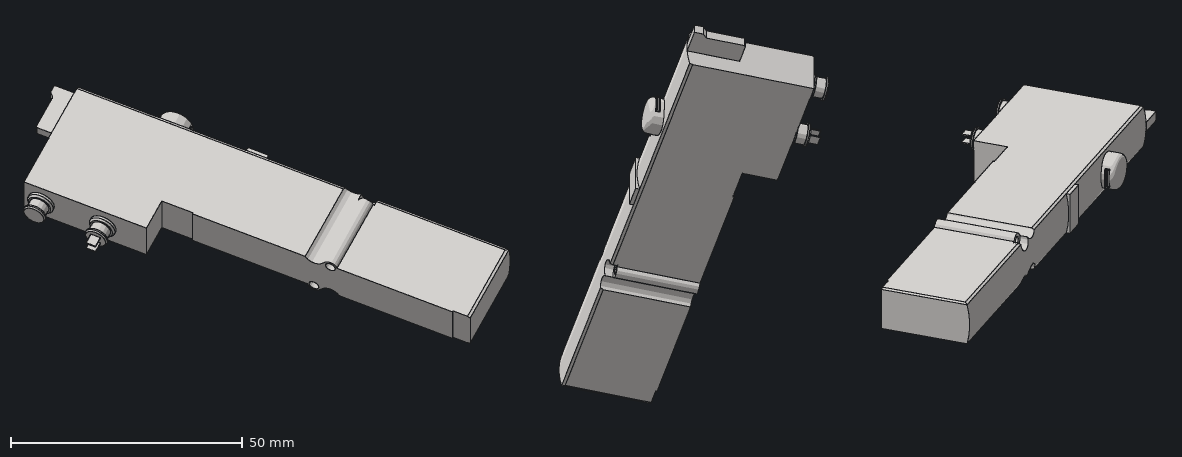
import cadquery as cq
import math


thickness = 10.0
length = 102.6
block_length = 29.2
block_depth = 28.5
neck_depth = 20.6
pad_depth = 20.9
pad_start = 36.6
pad_end = 98.5

crown_sag = 0.6
bevel_length = 0.65
bevel_drop = 0.25
crown_half_width = thickness / 2 - bevel_drop

channel_middle_x = 67.5
channel_pitch = 3.9
ridge_radius = 1.65
ridge_inset = 0.45
groove_radius = 2.4
groove_rise = 1.2
bore_diameter = 1.7
mouth_diameter = 2.3
mouth_depth = 5.0
head_seat_diameter = 3.9
head_seat_depth = 2.3

lever_thickness = 2.3
lever_reach = 5.9
lever_grip_reach = 4.9
lever_tip_height = 2.0
lever_length = 11.8
lever_corner = 0.3

connector_xs = (4.22, 18.92)
collar_diameter = 6.1
rim_diameter = 5.3
stem_diameter = 4.5
collar_thickness = 0.6
collar_height = 1.05
rim_start = 3.3
connector_length = 4.0
rim_bevel_height = 0.35
rim_bevel_width = 0.25

blade_width = 2.3
blade_thickness = 0.35
blade_spacing = 1.95
blade_tip = 6.49

knob_x = 22.2
knob_diameter = 8.1
knob_height = 3.2
knob_edge_radius = 1.2
grip_reach = 4.15
grip_width = 4.2
grip_height = 1.0
grip_middle_y = 1.35
grip_slot_height = 0.45
grip_slot_depth = 0.4

tab_x = 42.5
tab_width = 5.0
tab_height = 0.3


def box(x_range, y_range, z_range):
    """Axis-aligned box between pairs of coordinates."""
    ranges = (x_range, y_range, z_range)
    sizes = [high - low for low, high in ranges]
    middle = tuple((high + low) / 2 for low, high in ranges)
    return cq.Workplane("XY").box(*sizes).translate(middle)


def cylinder_y(x, z, diameter, y_front, y_rear):
    """Cylinder along Y."""
    circle = cq.Workplane("XZ", origin=(x, y_rear, z)).circle(diameter / 2)
    return circle.extrude(y_rear - y_front)


def make_housing():
    half = thickness / 2
    outline = [
        (0, 0),
        (length, 0),
        (length, -neck_depth),
        (pad_end, -neck_depth),
        (pad_end, -pad_depth),
        (pad_start, -pad_depth),
        (pad_start, -neck_depth),
        (block_length, -neck_depth),
        (block_length, -block_depth),
        (0, -block_depth),
    ]
    plate = cq.Workplane("XY").workplane(offset=-half).polyline(outline).close().extrude(thickness)
    crowned_section = (
        cq.Workplane("YZ")
        .moveTo(-block_depth, -half)
        .lineTo(-crown_sag - bevel_length, -half)
        .lineTo(-crown_sag, -crown_half_width)
        .threePointArc((0, 0), (-crown_sag, crown_half_width))
        .lineTo(-crown_sag - bevel_length, half)
        .lineTo(-block_depth, half)
        .close()
        .extrude(length)
    )
    bevelled_end = (
        cq.Workplane("XZ")
        .moveTo(0, -half)
        .lineTo(length - bevel_length, -half)
        .lineTo(length, bevel_drop - half)
        .lineTo(length, half - bevel_drop)
        .lineTo(length - bevel_length, half)
        .lineTo(0, half)
        .close()
        .extrude(block_depth)
    )
    return plate.intersect(crowned_section).intersect(bevelled_end)


groove_x = channel_middle_x - channel_pitch / 2
groove_z = thickness / 2 + groove_rise
ridge_x = channel_middle_x + channel_pitch / 2
ridge_z = thickness / 2 - ridge_inset


def slope_ends():
    """Ends of the straight slope that touches both the groove circle and the ridge circle."""
    across = ridge_x - groove_x
    down = ridge_z - groove_z
    centre_distance = math.hypot(across, down)
    normal_angle = math.atan2(down, across) - math.acos((groove_radius + ridge_radius) / centre_distance)
    normal_x = math.cos(normal_angle)
    normal_z = math.sin(normal_angle)
    groove_end = (groove_x + groove_radius * normal_x, groove_z + groove_radius * normal_z)
    ridge_end = (ridge_x - ridge_radius * normal_x, ridge_z - ridge_radius * normal_z)
    return groove_end, ridge_end


def make_groove():
    """Material removed above the groove and the slope."""
    groove_end, ridge_end = slope_ends()
    half_chord = math.sqrt(groove_radius**2 - groove_rise**2)
    return (
        cq.Workplane("XZ")
        .moveTo(groove_x - half_chord, thickness / 2)
        .threePointArc((groove_x, groove_z - groove_radius), groove_end)
        .lineTo(*ridge_end)
        .lineTo(ridge_end[0], groove_z)
        .lineTo(groove_x - half_chord, groove_z)
        .close()
        .extrude(block_depth)
    )


def make_ridge():
    """Round ridge and the wedge under the slope, from the head seat to the front."""
    groove_end, ridge_end = slope_ends()
    ridge_length = pad_depth - head_seat_depth
    wedge = (
        cq.Workplane("XZ", origin=(0, -head_seat_depth, 0))
        .polyline([groove_end, ridge_end, (ridge_x, ridge_z)])
        .close()
        .extrude(ridge_length)
    )
    return cylinder_y(ridge_x, ridge_z, 2 * ridge_radius, -pad_depth, -head_seat_depth).union(wedge)


def make_screw_hole():
    bore = cylinder_y(ridge_x, ridge_z, bore_diameter, -pad_depth, 0)
    mouth = cylinder_y(ridge_x, ridge_z, mouth_diameter, -pad_depth, mouth_depth - pad_depth)
    head_seat = cylinder_y(ridge_x, ridge_z, head_seat_diameter, -head_seat_depth, 0)
    return bore.union(mouth).union(head_seat)


def add_screw_channels(body):
    axis_start = (channel_middle_x, 0, 0)
    axis_end = (channel_middle_x, 1, 0)
    for turn in (0, 180):
        groove = make_groove().rotate(axis_start, axis_end, turn)
        ridge = make_ridge().rotate(axis_start, axis_end, turn)
        hole = make_screw_hole().rotate(axis_start, axis_end, turn)
        body = body.cut(groove).union(ridge).cut(hole)
    return body


def make_lever():
    outline = [
        (0, 0),
        (-lever_reach, 0),
        (-lever_reach, -lever_tip_height),
        (-lever_grip_reach, lever_grip_reach - lever_reach - lever_tip_height),
        (-lever_grip_reach, lever_corner - lever_length),
        (lever_corner - lever_grip_reach, -lever_length),
        (0, -lever_length),
    ]
    sketch = cq.Workplane("XY").workplane(offset=-lever_thickness / 2).polyline(outline).close()
    return sketch.extrude(lever_thickness)


def make_connector(x):
    """Collar, stem and rim turned about an axis along Y."""
    profile = [
        (0, 0),
        (collar_diameter / 2, 0),
        (collar_diameter / 2, -collar_thickness),
        (rim_diameter / 2, -collar_height),
        (stem_diameter / 2, -collar_height),
        (stem_diameter / 2, -rim_start),
        (rim_diameter / 2, -rim_start),
        (rim_diameter / 2, rim_bevel_height - connector_length),
        (rim_diameter / 2 - rim_bevel_width, -connector_length),
        (0, -connector_length),
    ]
    turned = cq.Workplane("XY").polyline(profile).close().revolve(360, (0, 0, 0), (0, 1, 0))
    return turned.translate((x, -block_depth, 0))


def make_blade(x, side):
    middle_z = side * blade_spacing / 2
    return box(
        (x - blade_width / 2, x + blade_width / 2),
        (-block_depth - blade_tip, -block_depth - connector_length),
        (middle_z - blade_thickness / 2, middle_z + blade_thickness / 2),
    )


def make_grip_box(side, inner_reach, outer_reach, height, width):
    """Box on one side of the knob, between two distances from its axis."""
    ends = sorted((knob_x + side * inner_reach, knob_x + side * outer_reach))
    y_range = (grip_middle_y - height / 2, grip_middle_y + height / 2)
    return box(ends, y_range, (-width / 2, width / 2))


def make_knob():
    knob = cylinder_y(knob_x, 0, knob_diameter, -crown_sag, knob_height)
    knob = knob.faces(">Y").edges().fillet(knob_edge_radius)
    for side in (-1, 1):
        pad = make_grip_box(side, 0, grip_reach, grip_height, grip_width)
        slot = make_grip_box(side, grip_reach - grip_slot_depth, grip_reach, grip_slot_height, grip_width)
        knob = knob.union(pad).cut(slot)
    return knob


def make_tab():
    return box(
        (tab_x - tab_width / 2, tab_x + tab_width / 2),
        (-crown_sag, tab_height),
        (-crown_half_width, crown_half_width),
    )


result = add_screw_channels(make_housing())
result = result.union(make_lever())
for connector_x in connector_xs:
    result = result.union(make_connector(connector_x))
for blade_side in (-1, 1):
    result = result.union(make_blade(connector_xs[-1], blade_side))
result = result.union(make_knob()).union(make_tab())